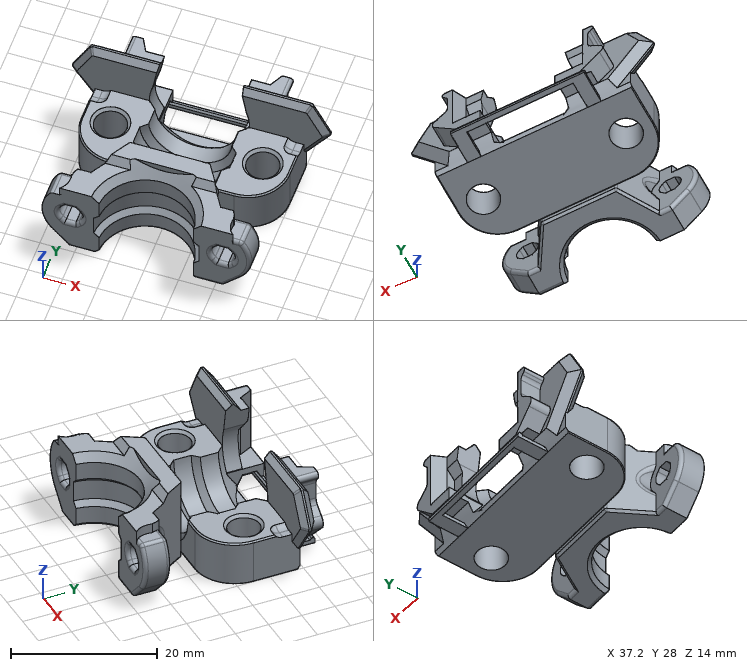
import cadquery as cq
import math


half_width = 15.05
screw_x = 11.0
axis_gap = 0.45
far = 44.68

base_front = 10.42
base_height = 6.75
base_corner_radius = 6.0
base_top_chamfer = 0.22
base_bottom_chamfer = 0.15
base_hole_y = 16.9
base_hole_diameter = 4.7
base_hole_chamfer = 0.43

plate_front = 22.25
plate_front_bevel = 0.9
plate_rim = 0.3
plate_rear_bevel = 1.2
plate_front_inset = 0.82
plate_rear_inset = 1.5
plate_top = 14.0
plate_top_half = 15.95
plate_tip_half = 18.7
plate_tip_z = 8.8
plate_corner_radius = 0.45
plate_lower_half = 12.6
plate_rim_front = plate_front + plate_front_bevel
plate_rim_rear = plate_rim_front + plate_rim
plate_rear = plate_rim_rear + plate_rear_bevel
undercut_start = 22.95
undercut_height = 2.05

base_axis_z = base_height + axis_gap
base_bore_radius = 6.013
base_groove_radius = 6.95
base_groove_start = 13.85
base_groove_end = 18.4
base_front_cone = 0.875
base_rear_cone_start = 21.07
base_floor = 0.52
ring_radius = base_bore_radius + plate_front - base_rear_cone_start
ring_arc_top = 9.68
wing_gap_half = 6.03
rear_gap_half = 5.75

relief_radius = 1.55
relief_depth = 0.55
relief_x = 13.95
relief_y = 20.85

tongue_rear = 27.9
tongue_top = 12.5
tongue_step = 25.87
notch_floor = 3.0
notch_rear_x = 10.0
notch_front_x = 8.97
lobe_half = 11.6
lobe_radius = 0.55
neck_half = 10.8
lip_bottom = 0.93
lip_half = 9.55
lip_front = 27.4
slot_rear = 26.7
shelf_z = 10.25
shelf_drop = 1.53

cap_rear = 9.95
cap_rear_half = 5.77
cap_waist_half = 9.35
cap_high = 12.75
cap_low = 11.73
cap_step_rear = 7.1
cap_step_front = 6.15
cap_bottom_chamfer = 0.37
cap_rear_round = 0.45
ear_depth = 4.0
ear_top = 10.28
ear_flat_half = 13.7
ear_corner_radius = 0.75
ear_side_z = 6.55
ear_slope_half = 13.78
ear_slope_z = 2.85
ear_bottom_half = 11.05
ear_round = 0.55
scallop_radius = 2.68
scallop_x = 14.3
scallop_y = 1.97
shoulder_round_start = 2.8
shoulder_rear_half = 11.2
cap_bore_radius = 6.8
cap_groove_radius = 7.6
cap_groove_start = 3.25
cap_groove_end = 7.93
cap_bottom_cone = 0.6
cap_top_cone_start = 10.6
cap_wall = 7.45
screw_z = 6.4
screw_diameter = 3.4
screw_round = 0.6
head_radius = 2.9
head_rim_round = 1.05

frame_thickness = 0.65
frame_half = 10.28
frame_arm_inner = 8.2
frame_rear = 28.0
frame_bar_front = 27.18
ridge_front = 27.45
ridge_rear = 27.77


def box(x0, x1, y0, y1, z0, z1):
    return cq.Workplane("XY").box(x1 - x0, y1 - y0, z1 - z0, centered=False).translate((x0, y0, z0))


def both_sides(shape):
    """The shape together with its mirror image across X = 0."""
    return shape.union(shape.mirror("YZ"))


def along_x(points, x0, x1):
    """Prism along X from (y, z) points."""
    return cq.Workplane("YZ").workplane(offset=x0).polyline(points).close().extrude(x1 - x0)


def groove_profile(radius, groove_radius, groove_start, groove_end, start, end):
    """Bore profile points (radius, length) with 45 degree groove flanks."""
    flank = groove_radius - radius
    return [
        (radius, start),
        (radius, groove_start),
        (groove_radius, groove_start + flank),
        (groove_radius, groove_end - flank),
        (radius, groove_end),
        (radius, end),
    ]


def turned_along_y(points):
    """Turned tool from (radius, y) points about the base bore axis."""
    profile = [(0, points[0][1])] + points + [(0, points[-1][1])]
    tool = cq.Workplane("XY").polyline(profile).close().revolve(360, (0, 0, 0), (0, 1, 0))
    return tool.translate((0, 0, base_axis_z))


def base_block():
    block = box(-half_width, half_width, base_front, plate_rim_rear, 0, base_height)
    block = block.edges("|Z and <Y").fillet(base_corner_radius)
    front = cq.selectors.BoxSelector((-far, 0, -far), (far, plate_rim_rear - 0.05, far))
    block = block.faces(">Z").edges(front).chamfer(base_top_chamfer)
    block = block.faces("<Z").edges(front).chamfer(base_bottom_chamfer)
    return block.cut(both_sides(relief_groove()))


def relief_groove():
    """Shallow rounded groove in the top of the base, running into the wing plate."""
    groove = box(
        relief_x - relief_radius,
        half_width + relief_radius,
        relief_y - relief_radius,
        plate_rim_front,
        base_height - relief_depth,
        base_height + 2 * relief_radius,
    )
    return groove.edges("(<X and <Y) or (<X and <Z) or (<Y and <Z)").fillet(relief_radius)


def plate_outline(y):
    points = [
        (-plate_lower_half, 0),
        (-plate_tip_half, plate_tip_z),
        (-plate_top_half, plate_top),
        (plate_top_half, plate_top),
        (plate_tip_half, plate_tip_z),
        (plate_lower_half, 0),
    ]
    return cq.Workplane("XZ", origin=(0, y, 0)).polyline(points).close()


def wing_plate():
    front_taper = math.degrees(math.atan2(plate_front_inset, plate_front_bevel))
    rear_taper = math.degrees(math.atan2(plate_rear_inset, plate_rear_bevel))
    rim = plate_outline(plate_rim_rear).extrude(plate_rim)
    front = plate_outline(plate_rim_front).extrude(plate_front_bevel, taper=front_taper)
    rear = plate_outline(plate_rim_rear).extrude(-plate_rear_bevel, taper=rear_taper)
    plate = rim.union(front).union(rear)
    right_tip = cq.selectors.BoxSelector(
        (plate_tip_half - plate_front_inset, plate_front, 0), (far, plate_rim_rear, far)
    )
    right_top = cq.selectors.BoxSelector(
        (plate_top_half - plate_front_inset, plate_front, plate_top - plate_front_inset),
        (plate_top_half + 0.37, plate_rim_rear - 0.05, far),
    )
    rounded = plate.edges(right_tip + right_top).fillet(plate_corner_radius)
    return both_sides(rounded.intersect(box(0, far, 0, far, 0, far)))


def tongue_outline():
    """Outline of the left tongue in XZ: a small upper lobe, a neck and a larger lower lobe."""
    diagonal = math.sqrt(0.5)
    lobe_x = -lobe_half + lobe_radius
    lobe_z = tongue_top - lobe_radius
    return (
        cq.Workplane("XZ", origin=(0, tongue_rear, 0))
        .moveTo(0, tongue_top)
        .lineTo(lobe_x, tongue_top)
        .threePointArc(
            (-lobe_half, lobe_z),
            (lobe_x - lobe_radius * diagonal, lobe_z - lobe_radius * diagonal),
        )
        .lineTo(-11.15, 11.2)
        .threePointArc((-10.87, 10.85), (-neck_half, 10.42))
        .lineTo(-neck_half, 7.85)
        .threePointArc((-10.9, 7.37), (-11.2, 6.95))
        .lineTo(-12.47, 5.95)
        .threePointArc((-13.1, 4.9), (-12.62, 4.0))
        .lineTo(-lip_half, lip_bottom)
        .lineTo(0, lip_bottom)
        .close()
    )


def tongue():
    body = tongue_outline().extrude(tongue_rear - plate_rim_rear)
    slot = along_x(
        [
            (lip_front, lip_bottom),
            (slot_rear, undercut_height),
            (plate_rim_rear, undercut_height),
            (plate_rim_rear, lip_bottom),
        ],
        -far,
        0,
    )
    notch = (
        cq.Workplane("XY", origin=(0, 0, notch_floor))
        .polyline(
            [
                (-notch_rear_x, tongue_rear),
                (-notch_front_x, tongue_step),
                (0, tongue_step),
                (0, tongue_rear),
            ]
        )
        .close()
        .extrude(far)
    )
    under_shelf = along_x(
        [
            (tongue_step, notch_floor),
            (tongue_step, shelf_z),
            (plate_rear, shelf_z - shelf_drop),
            (plate_rear, notch_floor),
        ],
        -notch_front_x,
        0,
    )
    return body.cut(slot).cut(notch).cut(under_shelf)


def base_bore():
    bore = groove_profile(
        base_bore_radius,
        base_groove_radius,
        base_groove_start,
        base_groove_end,
        base_front + base_front_cone,
        base_rear_cone_start,
    )
    mouth = [(base_bore_radius + base_front_cone, base_front)]
    front = turned_along_y(mouth + bore + [(ring_radius, plate_front)])
    ring = turned_along_y([(ring_radius, plate_front), (ring_radius, far)])
    cone_end = plate_rear
    cone_end_radius = ring_radius + cone_end - plate_front
    cone = turned_along_y([(ring_radius, plate_front), (cone_end_radius, cone_end), (cone_end_radius, far)])
    cone = cone.intersect(box(-rear_gap_half, rear_gap_half, 0, far, -far, far))
    ring = ring.intersect(box(-far, far, 0, far, notch_floor, far))
    arc_half = math.sqrt(ring_radius**2 - (ring_arc_top - base_axis_z) ** 2)
    wing_gap = (
        cq.Workplane("XZ")
        .polyline(
            [
                (-arc_half, ring_arc_top),
                (arc_half, ring_arc_top),
                (wing_gap_half, plate_top),
                (-wing_gap_half, plate_top),
            ]
        )
        .close()
        .extrude(-far)
    )
    rear_floor = box(-far, far, base_groove_end, far, -far, base_floor)
    return front.union(cone).union(ring).union(wing_gap).cut(rear_floor)


def base_hole():
    hole = cq.Workplane("XY").circle(base_hole_diameter / 2).extrude(base_height)
    countersink = (
        cq.Workplane("XY", origin=(0, 0, base_height))
        .circle(base_hole_diameter / 2 + base_hole_chamfer)
        .extrude(-base_hole_chamfer, taper=45)
    )
    return hole.union(countersink).translate((screw_x, base_hole_y, 0))


def make_base():
    undercut = along_x(
        [
            (undercut_start, 0),
            (plate_rear, undercut_height),
            (plate_rear, -0.37),
            (undercut_start, -0.37),
        ],
        -far,
        far,
    )
    body = base_block().union(wing_plate()).cut(undercut)
    body = body.union(both_sides(tongue())).cut(base_bore())
    body = body.cut(box(-rear_gap_half, rear_gap_half, plate_rear, far, -0.37, far))
    return body.cut(both_sides(base_hole()))


def cap_centre():
    """Tapered rear part of the cap, with rounded recesses for the screw heads."""
    body = (
        cq.Workplane("XY")
        .polyline(
            [
                (-cap_waist_half, ear_round),
                (-cap_waist_half, ear_depth),
                (-cap_rear_half, cap_rear),
                (cap_rear_half, cap_rear),
                (cap_waist_half, ear_depth),
                (cap_waist_half, ear_round),
            ]
        )
        .close()
        .extrude(cap_high)
    )
    body = body.edges("|Z and >Y").fillet(cap_rear_round)
    beyond_ears = cq.selectors.BoxSelector((-far, ear_depth, -0.37), (far, far, 0.37))
    body = body.edges(beyond_ears).chamfer(cap_bottom_chamfer)
    step = along_x(
        [(0, cap_low), (cap_step_front, cap_low), (cap_step_rear, cap_high), (0, cap_high)], -far, far
    )
    head = cq.Workplane("XZ", origin=(screw_x, ear_depth, screw_z)).circle(head_radius).extrude(-far)
    body = body.cut(step).cut(both_sides(head))
    head_zone = (cap_waist_half, cap_rear, screw_z + 0.37)
    recess_rims = cq.selectors.BoxSelector((-cap_waist_half, ear_depth + 0.37, screw_z - 0.37), head_zone)
    return body.edges(recess_rims).fillet(head_rim_round)


def cap_ear():
    """Right half of the ear plate, rounded at the back."""
    ear = (
        cq.Workplane("XZ")
        .moveTo(0, 0)
        .lineTo(ear_bottom_half, 0)
        .lineTo(ear_slope_half, ear_slope_z)
        .threePointArc((half_width, ear_side_z), (ear_flat_half, ear_top))
        .lineTo(0, ear_top)
        .close()
        .extrude(-ear_depth)
    )
    corner = cq.selectors.NearestToPointSelector((ear_flat_half, ear_depth / 2, ear_top))
    ear = ear.edges(corner).fillet(ear_corner_radius)
    return ear.edges(">Y").edges("not(<X)").fillet(ear_round)


def cap_shoulder():
    """Raised block between the ears, hollowed at both ends by the scallops."""
    bottom = ear_top - ear_round
    block = box(-scallop_x, scallop_x, 0, ear_depth, bottom, cap_low)
    scallop = cq.Workplane("XY", origin=(scallop_x, scallop_y, bottom)).circle(scallop_radius).extrude(far)
    side = scallop_x - scallop_radius
    run = ear_depth - shoulder_round_start
    inset = side - shoulder_rear_half
    round_radius = (run**2 + inset**2) / (2 * inset)
    corner = box(0, scallop_x, shoulder_round_start, ear_depth, bottom, cap_low)
    core = (
        cq.Workplane("XY", origin=(side - round_radius, shoulder_round_start, bottom))
        .circle(round_radius)
        .extrude(far)
    )
    inner = box(0, side - round_radius, 0, ear_depth, bottom, cap_low)
    return block.cut(both_sides(scallop)).cut(both_sides(corner.cut(core).cut(inner)))


def cap_bore():
    bore = groove_profile(
        cap_bore_radius,
        cap_groove_radius,
        cap_groove_start,
        cap_groove_end,
        cap_bottom_cone,
        cap_top_cone_start,
    )
    top_radius = cap_bore_radius + cap_high - cap_top_cone_start
    profile = [(0, 0), (cap_bore_radius + cap_bottom_cone, 0)] + bore + [(top_radius, cap_high), (0, cap_high)]
    tool = cq.Workplane("XZ").polyline(profile).close().revolve(360, (0, 0, 0), (0, 1, 0))
    tool = tool.translate((0, -axis_gap, 0))
    return tool.intersect(box(-far, far, -far, cap_wall, 0, far))


def screw_hole():
    """Hole along Y with round sides and with an octagon's top and bottom."""
    radius = screw_diameter / 2
    corner = radius * math.tan(math.pi / 8)
    tangent = radius * math.sqrt(0.5)
    outline = (
        cq.Workplane("XZ", origin=(screw_x, 0, screw_z))
        .moveTo(-corner, radius)
        .lineTo(corner, radius)
        .lineTo(tangent, tangent)
        .threePointArc((radius, 0), (tangent, -tangent))
        .lineTo(corner, -radius)
        .lineTo(-corner, -radius)
        .lineTo(-tangent, -tangent)
        .threePointArc((-radius, 0), (-tangent, tangent))
        .close()
    )
    return outline.extrude(-ear_depth)


def hole_mouth(x):
    """Selects the front edges of the screw hole centred at x."""
    reach = screw_diameter / 2 + 0.37
    return cq.selectors.BoxSelector(
        (x - reach, -0.05, screw_z - reach), (x + reach, 0.05, screw_z + reach)
    )


def make_cap():
    left_ear = cap_ear().mirror("YZ")
    right_ear = cap_ear().edges("<Y").edges("not(<X)").fillet(ear_round)
    body = left_ear.union(right_ear).union(cap_centre()).union(cap_shoulder())
    body = body.cut(cap_bore()).cut(both_sides(screw_hole()))
    return body.edges(hole_mouth(screw_x) + hole_mouth(-screw_x)).fillet(screw_round)


def make_frame(base):
    """Thin U-shaped frame under the tongues, with a ridge along its rear bar."""
    plate = box(-frame_half, frame_half, undercut_start, frame_rear, 0, frame_thickness)
    plate = plate.cut(box(-frame_arm_inner, frame_arm_inner, 0, frame_bar_front, 0, far))
    ridge = along_x(
        [
            (frame_bar_front, frame_thickness),
            (ridge_front, lip_bottom),
            (ridge_rear, lip_bottom),
            (frame_rear, frame_thickness),
        ],
        -frame_half,
        frame_half,
    )
    return plate.union(ridge).cut(base)


base = make_base()
cap = make_cap()
frame = make_frame(base)
result = cq.Compound.makeCompound([base.val(), cap.val(), frame.val()])